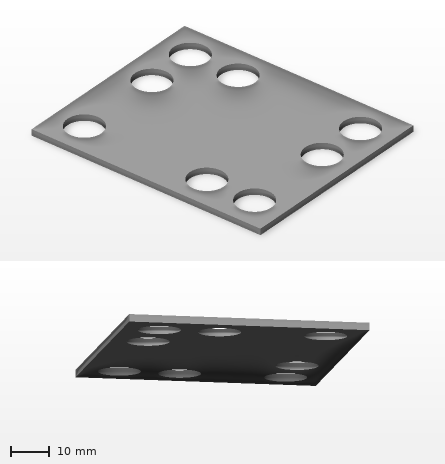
import cadquery as cq

length = 76.2
width = 63.5
thickness = 2.0

hole_diameter = 11.2
edge_distance = 9.75
hole_pitch = 15.9

corner_x = length / 2 - edge_distance
corner_y = width / 2 - edge_distance
inner_x = corner_x - hole_pitch
inner_y = corner_y - hole_pitch

corner_holes = [(x, y) for x in (-corner_x, corner_x) for y in (-corner_y, corner_y)]
neighbour_holes = [
    (-inner_x, corner_y),
    (-corner_x, inner_y),
    (corner_x, inner_y),
    (inner_x, -corner_y),
]

plate = cq.Workplane("XY").box(length, width, thickness)
result = (
    plate.faces(">Z")
    .workplane()
    .pushPoints(corner_holes + neighbour_holes)
    .hole(hole_diameter)
)